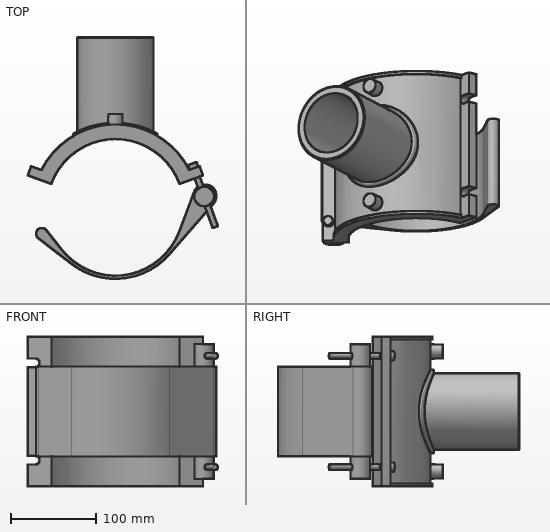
import cadquery as cq
import math


SADDLE_HEIGHT = 176.0
PIPE_RADIUS = 80.0
SADDLE_RADIUS = 95.5
WALL_MIDDLE = (PIPE_RADIUS + SADDLE_RADIUS) / 2
LIP_RADIUS = 97.5
LIP_HEIGHT = 3.7
FLANGE_ANGLE = 20.0
FLANGE_REACH = 109.5
FLANGE_THICKNESS = 11.6
SLOT_WIDTH = 10.0
SLOT_END_REACH = 94.8
SLOT_Z = 57.0

TUBE_DIAMETER = 90.0
BORE_DIAMETER = 72.0
TUBE_END_Y = 200.0
TUBE_CHAMFER = 1.0
COLLAR_DIAMETER = 99.0
COLLAR_RADIUS = 99.5
COLLAR_ROUNDING = 2.3

STUD_BASE_DIAMETER = 18.0
STUD_TIP_DIAMETER = 16.5
STUD_TIP_Y = 110.0
STUD_Z = 70.5

STRAP_HEIGHT = 105.4
STRAP_THICKNESS = 4.0
STRAP_RADIUS = PIPE_RADIUS + STRAP_THICKNESS
TIP_CENTER = (-86.3, -31.0)
TIP_RADIUS = 6.8
BOSS_CENTER = (105.0, 13.3)
BOSS_RADIUS = 13.5
TRUNNION_CENTER = (104.2, 12.8)
TRUNNION_DIAMETER = 23.0
TRUNNION_HEIGHT = 158.5

SCREW_DIAMETER = 6.8
SCREW_HEAD_DIAMETER = 11.0
SCREW_END = 38.3
SCREW_HEAD_TOP = 41.2
SCREW_ROUNDING = 0.5
SCREW_Z = 65.3

FLANGE_COS = math.cos(math.radians(FLANGE_ANGLE))
FLANGE_SIN = math.sin(math.radians(FLANGE_ANGLE))
SCREW_AXIS = cq.Vector(-FLANGE_SIN, FLANGE_COS, 0)


def upright_cylinder(radius, height, center=(0, 0)):
    """Cylinder along Z, centred on the plane Z = 0."""
    return cq.Workplane("XY").center(*center).circle(radius).extrude(height / 2, both=True)


def branch_cylinder(diameter, start_y, end_y):
    """Cylinder along the branch axis +Y."""
    start = cq.Workplane("XZ", origin=(0, start_y, 0))
    return start.circle(diameter / 2).extrude(start_y - end_y)


def flange_point(along, above):
    """Point on the right: distance along the flange face and height above it."""
    return (along * FLANGE_COS - above * FLANGE_SIN, along * FLANGE_SIN + above * FLANGE_COS)


def mirrored(point):
    return (-point[0], point[1])


def saddle_shell(outer_radius, height):
    """Pipe-hugging arc with a flange along each straight edge."""
    root_along = math.sqrt(outer_radius**2 - FLANGE_THICKNESS**2)
    inner = flange_point(PIPE_RADIUS, 0)
    outer = flange_point(FLANGE_REACH, 0)
    outer_top = flange_point(FLANGE_REACH, FLANGE_THICKNESS)
    root = flange_point(root_along, FLANGE_THICKNESS)
    return (
        cq.Workplane("XY")
        .moveTo(*inner)
        .lineTo(*outer)
        .lineTo(*outer_top)
        .lineTo(*root)
        .threePointArc((0, outer_radius), mirrored(root))
        .lineTo(*mirrored(outer_top))
        .lineTo(*mirrored(outer))
        .lineTo(*mirrored(inner))
        .threePointArc((0, PIPE_RADIUS), inner)
        .close()
        .extrude(height / 2, both=True)
    )


def end_lip(side):
    """Raised rim of the saddle at its upper (side = 1) or lower (side = -1) end."""
    middle = side * (SADDLE_HEIGHT - LIP_HEIGHT) / 2
    return saddle_shell(LIP_RADIUS, LIP_HEIGHT).translate((0, 0, middle))


def stud(side):
    """Tapered terminal stud standing on the saddle."""
    base = cq.Workplane("XZ", origin=(0, WALL_MIDDLE, side * STUD_Z)).circle(STUD_BASE_DIAMETER / 2)
    return base.workplane(offset=WALL_MIDDLE - STUD_TIP_Y).circle(STUD_TIP_DIAMETER / 2).loft()


def flange_slot(side):
    """Round-ended cutter, open at the edge of the left-hand flange."""
    depth = FLANGE_REACH - SLOT_END_REACH
    plane = cq.Plane(
        origin=(-FLANGE_REACH * FLANGE_COS, FLANGE_REACH * FLANGE_SIN, side * SLOT_Z),
        xDir=(-FLANGE_COS, FLANGE_SIN, 0),
        normal=(FLANGE_SIN, FLANGE_COS, 0),
    )
    return cq.Workplane(plane).slot2D(2 * depth, SLOT_WIDTH).extrude(
        FLANGE_THICKNESS * 2, both=True
    )


def screw_point(distance, z):
    """Point on a screw axis, measured from the trunnion axis towards the head."""
    return cq.Vector(*TRUNNION_CENTER, z) + SCREW_AXIS * distance


def screw_shank(z):
    plane = cq.Plane(origin=screw_point(-SCREW_END, z), xDir=(0, 0, 1), normal=SCREW_AXIS)
    length = SCREW_END + SCREW_HEAD_TOP
    return cq.Workplane(plane).circle(SCREW_DIAMETER / 2).extrude(length)


def make_saddle():
    saddle = saddle_shell(SADDLE_RADIUS, SADDLE_HEIGHT)
    collar = branch_cylinder(COLLAR_DIAMETER, 0, COLLAR_RADIUS)
    collar = collar.intersect(upright_cylinder(COLLAR_RADIUS, SADDLE_HEIGHT))
    collar = collar.faces(">Y").edges().fillet(COLLAR_ROUNDING)
    tube = branch_cylinder(TUBE_DIAMETER, 0, TUBE_END_Y).faces(">Y").edges().chamfer(TUBE_CHAMFER)
    branch = tube.union(collar).cut(upright_cylinder(WALL_MIDDLE, SADDLE_HEIGHT))
    saddle = saddle.union(branch).cut(branch_cylinder(BORE_DIAMETER, 0, TUBE_END_Y))
    for side in (-1, 1):
        saddle = saddle.union(end_lip(side)).union(stud(side))
        saddle = saddle.cut(flange_slot(side)).cut(screw_shank(side * SCREW_Z))
    return saddle


def tangent_points(center, radius, pipe_radius, turn):
    """Touch points, on the pipe-centred circle and on a round end, of a shared tangent line.

    A positive radius puts the round end on the pipe's side of the line, a negative
    one puts it on the far side. The turn (1 or -1) picks one of the two such lines.
    """
    distance = math.hypot(*center)
    angle = math.atan2(center[1], center[0]) + turn * math.acos((pipe_radius - radius) / distance)
    normal = (math.cos(angle), math.sin(angle))
    on_pipe = (pipe_radius * normal[0], pipe_radius * normal[1])
    on_end = (center[0] + radius * normal[0], center[1] + radius * normal[1])
    return on_pipe, on_end


def far_point(center, radius):
    """Point of a round end farthest from the pipe axis."""
    scale = 1 + radius / math.hypot(*center)
    return (center[0] * scale, center[1] * scale)


def make_strap():
    inner_tip, tip_top = tangent_points(TIP_CENTER, -TIP_RADIUS, PIPE_RADIUS, 1)
    outer_tip, tip_bottom = tangent_points(TIP_CENTER, TIP_RADIUS, STRAP_RADIUS, 1)
    inner_boss, boss_top = tangent_points(BOSS_CENTER, -BOSS_RADIUS, PIPE_RADIUS, -1)
    outer_boss, boss_bottom = tangent_points(BOSS_CENTER, BOSS_RADIUS, STRAP_RADIUS, -1)
    strap = (
        cq.Workplane("XY")
        .moveTo(*inner_tip)
        .lineTo(*tip_top)
        .threePointArc(far_point(TIP_CENTER, TIP_RADIUS), tip_bottom)
        .lineTo(*outer_tip)
        .threePointArc((0, -STRAP_RADIUS), outer_boss)
        .lineTo(*boss_bottom)
        .threePointArc(far_point(BOSS_CENTER, BOSS_RADIUS), boss_top)
        .lineTo(*inner_boss)
        .threePointArc((0, -PIPE_RADIUS), inner_tip)
        .close()
        .extrude(STRAP_HEIGHT / 2, both=True)
    )
    strap = strap.union(upright_cylinder(TRUNNION_DIAMETER / 2, TRUNNION_HEIGHT, TRUNNION_CENTER))
    for side in (-1, 1):
        strap = strap.cut(screw_shank(side * SCREW_Z))
    return strap


def make_screw(z):
    """Screw through the flange and the trunnion, its head seated on the flange."""
    center_above = TRUNNION_CENTER[1] * FLANGE_COS - TRUNNION_CENTER[0] * FLANGE_SIN
    seat = FLANGE_THICKNESS - center_above
    plane = cq.Plane(origin=screw_point(seat, z), xDir=(0, 0, 1), normal=SCREW_AXIS)
    head = cq.Workplane(plane).circle(SCREW_HEAD_DIAMETER / 2).extrude(SCREW_HEAD_TOP - seat)
    return screw_shank(z).faces("<Y").edges().fillet(SCREW_ROUNDING).union(head)


saddle = make_saddle()
strap = make_strap()
screws = [make_screw(side * SCREW_Z) for side in (-1, 1)]

result = cq.Compound.makeCompound([saddle.val(), strap.val(), *[screw.val() for screw in screws]])